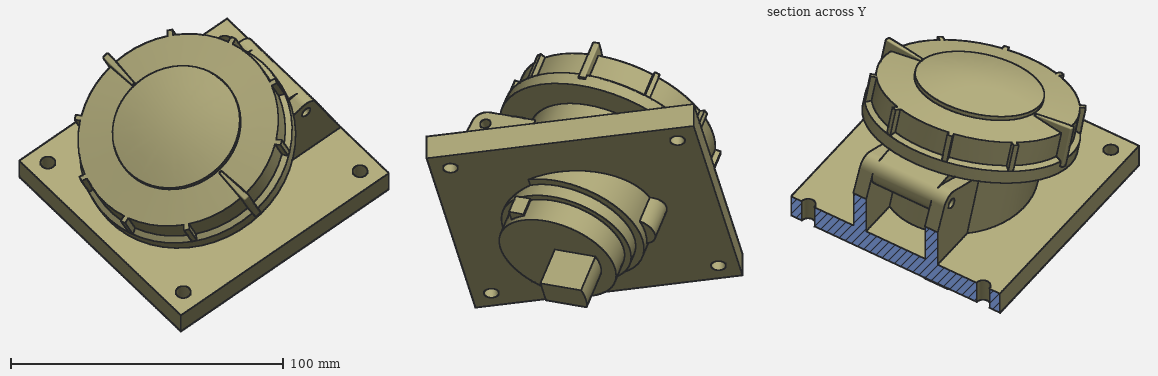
import cadquery as cq
import math

plate_x = 92
plate_y = 100
plate_thickness = 10.1
screw_pitch_x = 77
screw_pitch_y = 85
screw_hole_diameter = 5.5

tilt = 20

body_radius = 28.5
shoulder_radius = 25.3
neck_radius = 22.8
body_bottom = -14.9
shoulder_bottom = -20
neck_bottom = -29.4
key_radius = 7.3
key_offset = 25
key_bottom = -11.7

tab_reach = 21.5
tab_start = 9.8
tab_width = 5.8
tab_height = 7.3

tongue_width = 10.5
tongue_radius = 17
tongue_bottom = -45.2

ring_radius = 40.4
ring_bottom = 20.4
ring_top = 25.4
ledge_inner_level = 26.5
cap_radius = 38.1
cap_edge_level = 36.3
disc_radius = 24.2
disc_base_level = 37.7
disc_rim_level = 39.3
dome_top_level = 42.4
rib_count = 10
rib_width = 2
rib_reach = 40.3
rib_root_x = 37
rib_twist = -1.4

lever_reach = 41.5
lever_width = 2.6
lever_bottom = 23.4
lever_top = 39.8
lever_tip_level = 38.2
lever_tip_x = 25.2
lever_tip_width = 1.2
lever_edge_fillet = 0.5

ear_outer_x = 18.6
ear_inner_x = 12.9
hinge_y = 33.4
hinge_z = 24
knuckle_radius = 5.3
hinge_hole_diameter = 4
ear_front_offset = 21.3
link_outer_offset = 32.1
link_inner_offset = 28.4
link_overlap = 0.5


def tilted(shape):
    """Lean a shape built along Z onto the socket axis."""
    return shape.rotate((0, 0, 0), (1, 0, 0), tilt)


def tilted_point(offset, level):
    """Return (Y, Z) of a point given across and along the socket axis."""
    angle = math.radians(tilt)
    y = offset * math.cos(angle) - level * math.sin(angle)
    z = offset * math.sin(angle) + level * math.cos(angle)
    return y, z


def cylinder(radius, bottom, top):
    return cq.Workplane("XY").workplane(offset=bottom).circle(radius).extrude(top - bottom)


def knuckle_tangent(point, side):
    """Return where a line from point touches the knuckle circle, on side +1 or -1."""
    dy = point[0] - hinge_y
    dz = point[1] - hinge_z
    direction = math.atan2(dz, dy)
    spread = math.acos(knuckle_radius / math.hypot(dy, dz))
    angle = direction + side * spread
    y = hinge_y + knuckle_radius * math.cos(angle)
    z = hinge_z + knuckle_radius * math.sin(angle)
    return y, z


def knuckle_outline(arc_start, arc_end, corners, start_x, end_x):
    """Extrude an outline of a knuckle arc through its top rear, closed by straight corners."""
    diagonal = knuckle_radius / math.sqrt(2)
    arc_middle = (hinge_y + diagonal, hinge_z + diagonal)
    plane = cq.Workplane("YZ").workplane(offset=start_x)
    outline = plane.moveTo(*arc_start).threePointArc(arc_middle, arc_end)
    for corner in corners:
        outline = outline.lineTo(*corner)
    return outline.close().extrude(end_x - start_x)


def make_plate():
    plate = cq.Workplane("XY").box(plate_x, plate_y, plate_thickness, centered=(True, True, False))
    plate = plate.translate((0, 0, -plate_thickness))
    holes = plate.faces(">Z").workplane().rarray(screw_pitch_x, screw_pitch_y, 2, 2)
    return holes.hole(screw_hole_diameter)


def make_socket():
    socket = cylinder(body_radius, body_bottom, ring_bottom)
    socket = socket.union(cylinder(shoulder_radius, shoulder_bottom, body_bottom))
    socket = socket.union(cylinder(neck_radius, neck_bottom, shoulder_bottom))
    key = cylinder(key_radius, key_bottom, ring_bottom).translate((0, -key_offset, 0))
    tabs = cq.Workplane("XY").box(2 * tab_reach, tab_width, tab_height, centered=(True, False, False))
    tabs = tabs.translate((0, tab_start, shoulder_bottom - tab_height))
    return socket.union(key).union(tabs)


def make_tongue():
    """Half-round tongue: flat on the axis, rounded on its -Y end."""
    height = neck_bottom - tongue_bottom
    block = cq.Workplane("XY").box(tongue_width, tongue_radius, height, centered=(True, False, False))
    block = block.translate((0, -tongue_radius, tongue_bottom))
    return block.intersect(cylinder(tongue_radius, tongue_bottom, neck_bottom))


def make_cap():
    """Turned lid: ring, slightly conical cap and domed disc."""
    rise = dome_top_level - disc_rim_level
    dome_radius = (disc_radius**2 + rise**2) / (2 * rise)
    mid_radius = disc_radius / 2
    mid_level = dome_top_level - dome_radius + math.sqrt(dome_radius**2 - mid_radius**2)
    profile = (
        cq.Workplane("XZ")
        .moveTo(0, ring_bottom)
        .lineTo(ring_radius, ring_bottom)
        .lineTo(ring_radius, ring_top)
        .lineTo(cap_radius, ledge_inner_level)
        .lineTo(cap_radius, cap_edge_level)
        .lineTo(disc_radius, disc_base_level)
        .lineTo(disc_radius, disc_rim_level)
        .threePointArc((mid_radius, mid_level), (0, dome_top_level))
        .close()
    )
    return profile.revolve(360, (0, 0, 0), (0, 1, 0))


def make_rib():
    """Grip rib standing on the ring against the cap wall."""
    height = cap_edge_level - ring_top
    length = rib_reach - rib_root_x
    block = cq.Workplane("XY").box(length, rib_width, height, centered=(False, True, False))
    return block.translate((rib_root_x, 0, ring_top))


def make_lever():
    """Upright grip on the lid edge with a pointed arm tapering inwards on the cap."""
    side = (
        cq.Workplane("XZ")
        .moveTo(rib_root_x, lever_bottom)
        .lineTo(lever_reach, lever_bottom)
        .lineTo(lever_reach, lever_top)
        .lineTo(lever_tip_x, lever_tip_level)
        .lineTo(lever_tip_x, cap_edge_level)
        .lineTo(rib_root_x, cap_edge_level)
        .close()
        .extrude(lever_width, both=True)
    )
    plan = (
        cq.Workplane("XY")
        .moveTo(lever_tip_x, -lever_tip_width / 2)
        .lineTo(rib_root_x, -lever_width / 2)
        .lineTo(lever_reach, -lever_width / 2)
        .lineTo(lever_reach, lever_width / 2)
        .lineTo(rib_root_x, lever_width / 2)
        .lineTo(lever_tip_x, lever_tip_width / 2)
        .close()
        .extrude(dome_top_level)
    )
    lever = side.intersect(plan)
    lever = lever.edges("|Z and >X").fillet(lever_edge_fillet)
    return lever.faces(">Z").edges().fillet(lever_edge_fillet)


def make_lid():
    lid = make_cap()
    rib = make_rib()
    for index in range(rib_count):
        angle = rib_twist + index * 360 / rib_count
        lid = lid.union(rib.rotate((0, 0, 0), (0, 0, 1), angle))
    lever = make_lever()
    for angle in (rib_twist, rib_twist + 180):
        lid = lid.union(lever.rotate((0, 0, 0), (0, 0, 1), angle))
    return lid


def make_ear(start_x, end_x):
    """Hinge ear rising from the rear edge of the plate to a rounded top."""
    rear_foot = (plate_y / 2, 0)
    angle = math.radians(tilt)
    round_end = (hinge_y - knuckle_radius * math.sin(angle), hinge_z + knuckle_radius * math.cos(angle))
    top_level = round_end[1] * math.cos(angle) - round_end[0] * math.sin(angle)
    corners = [
        tilted_point(ear_front_offset, top_level),
        (ear_front_offset / math.cos(angle), 0),
        rear_foot,
    ]
    return knuckle_outline(knuckle_tangent(rear_foot, 1), round_end, corners, start_x, end_x)


def make_link():
    """Lid arm between the ears, joining the hinge knuckle to the ring."""
    outer = tilted_point(link_outer_offset, ring_bottom)
    inner = tilted_point(link_inner_offset, ring_bottom)
    corners = [
        outer,
        tilted_point(link_outer_offset, ring_bottom + link_overlap),
        tilted_point(link_inner_offset, ring_bottom + link_overlap),
        inner,
    ]
    arc_start = knuckle_tangent(inner, 1)
    arc_end = knuckle_tangent(outer, -1)
    return knuckle_outline(arc_start, arc_end, corners, -ear_inner_x, ear_inner_x)


def make_hinge_hole():
    plane = cq.Workplane("YZ").center(hinge_y, hinge_z)
    return plane.circle(hinge_hole_diameter / 2).extrude(ear_outer_x, both=True)


result = make_plate()
result = result.union(tilted(make_socket()))
result = result.union(tilted(make_tongue()))
result = result.union(tilted(make_lid()))
result = result.union(make_ear(-ear_outer_x, -ear_inner_x))
result = result.union(make_ear(ear_inner_x, ear_outer_x))
result = result.union(make_link())
result = result.cut(make_hinge_hole()).solids()